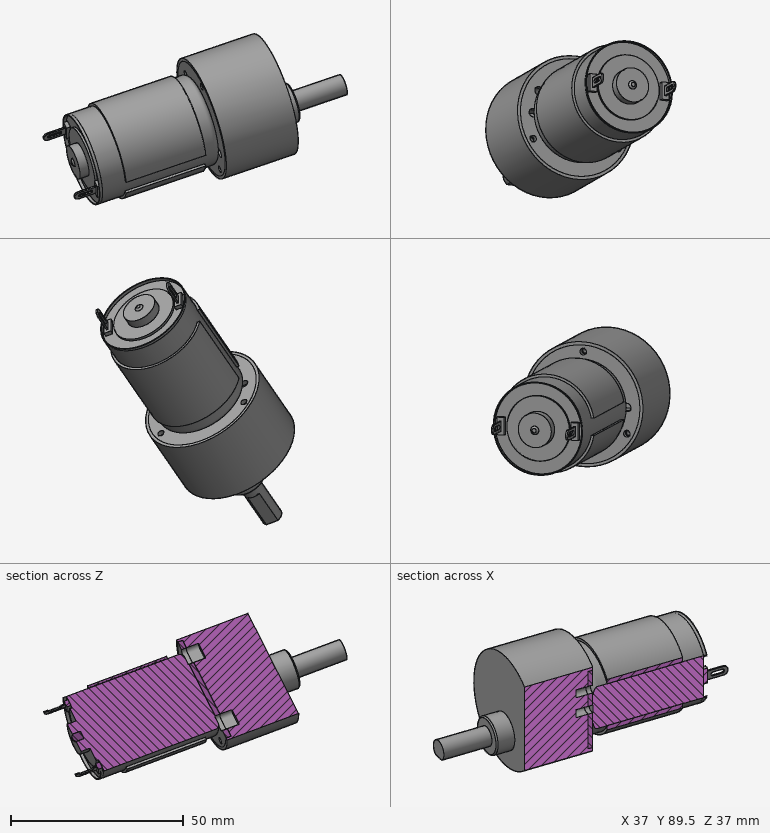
import cadquery as cq
import math

TOTAL_LENGTH = 89.5

GEARBOX_RADIUS = 37.0 / 2
GEARBOX_LENGTH = 22.6
COVER_RADIUS = 17.5
COVER_THICKNESS = 1.5
BOSS_RADIUS = 6.0
BOSS_LENGTH = 6.0
BOSS_CHAMFER = 0.45

SCREW_CIRCLE_RADIUS = 15.6
SCREW_ANGLES = [90, 210, 330]
SCREW_CLEARANCE_RADIUS = 1.0
SCREW_PILOT_RADIUS = 0.7
SCREW_PILOT_DEPTH = 5.4
OPENING_CIRCLE_RADIUS = 13.5
OPENING_RADIUS = 1.25
OPENING_DEPTH = 5.4
ROUND_HOLE_ANGLE = 150
SLOT_SIDES = [-1, 1]
SLOT_RUN = 2.7

SHAFT_Z = -7.0
SHAFT_RADIUS = 3.1
SHAFT_PROTRUSION = 15.9
SHAFT_FLAT_LENGTH = 11.9
SHAFT_FLAT_OFFSET = 2.5
SHAFT_SEAT_DEPTH = BOSS_LENGTH

CAN_RADIUS = 13.8
CAN_LENGTH = 37.9
CAN_FILLET = 1.6
RIM_WIDTH = 0.3
RIM_DEPTH = 1.0
DISC_RADIUS = 9.7
DISC_HEIGHT = 0.7
BEARING_RADIUS = 5.1
BEARING_HEIGHT = 2.5

RING_RADIUS = 14.6
RING_START = 4.7
RING_LENGTH = 25.1
RING_GAP = 5.2

PIN_RADIUS = 1.25
PIN_TIP_RADIUS = 0.6
PIN_PROTRUSION = 0.5
PIN_SEAT_DEPTH = BEARING_HEIGHT

TERMINAL_X = 11.5
PLATE_WIDTH = 2.2
PLATE_HEIGHT = 5.2
PLATE_THICKNESS = 1.25
BLADE_THICKNESS = 0.5
BLADE_WIDTH = 2.95
EYE_WIDTH = 1.25
EYE_LENGTH = 4.4
EYE_TO_TIP = 1.25

BOSS_END = GEARBOX_LENGTH + BOSS_LENGTH
SHAFT_TIP = BOSS_END + SHAFT_PROTRUSION
TERMINAL_TIP = SHAFT_TIP - TOTAL_LENGTH
CAN_END = -CAN_LENGTH
CAN_FLOOR = CAN_END + RIM_DEPTH
BEARING_END = CAN_END - BEARING_HEIGHT


def cylinder(radius, y_start, y_end, x=0, z=0):
    """Cylinder along Y between two Y positions."""
    length = y_end - y_start
    return cq.Workplane(cq.Solid.makeCylinder(radius, length, cq.Vector(x, y_start, z), cq.Vector(0, 1, 0)))


def circle_points(radius, angles):
    """X, Z positions on a circle about the motor axis."""
    return [(radius * math.cos(math.radians(a)), radius * math.sin(math.radians(a))) for a in angles]


def rear_openings():
    """Round hole and two radial slots that enter the gearbox from its rear face."""
    x, z = circle_points(OPENING_CIRCLE_RADIUS, [ROUND_HOLE_ANGLE])[0]
    openings = [cylinder(OPENING_RADIUS, 0, OPENING_DEPTH, x, z)]
    for side in SLOT_SIDES:
        slot = cq.Workplane("XZ").center(side * (OPENING_CIRCLE_RADIUS - SLOT_RUN / 2), 0)
        openings.append(slot.slot2D(SLOT_RUN + 2 * OPENING_RADIUS, 2 * OPENING_RADIUS).extrude(-OPENING_DEPTH))
    return openings


SCREW_POINTS = circle_points(SCREW_CIRCLE_RADIUS, SCREW_ANGLES)


def make_housing():
    housing = cylinder(GEARBOX_RADIUS, 0, GEARBOX_LENGTH)
    boss = cylinder(BOSS_RADIUS, GEARBOX_LENGTH, BOSS_END, z=SHAFT_Z).faces(">Y").chamfer(BOSS_CHAMFER)
    housing = housing.union(boss)
    housing = housing.cut(cylinder(COVER_RADIUS, 0, COVER_THICKNESS))
    housing = housing.cut(cylinder(SHAFT_RADIUS, BOSS_END - SHAFT_SEAT_DEPTH, BOSS_END, z=SHAFT_Z))
    for x, z in SCREW_POINTS:
        housing = housing.cut(cylinder(SCREW_PILOT_RADIUS, 0, SCREW_PILOT_DEPTH, x, z))
    for opening in rear_openings():
        housing = housing.cut(opening)
    return housing


def make_cover():
    cover = cylinder(COVER_RADIUS, 0, COVER_THICKNESS)
    for x, z in SCREW_POINTS:
        cover = cover.cut(cylinder(SCREW_CLEARANCE_RADIUS, 0, COVER_THICKNESS, x, z))
    for opening in rear_openings():
        cover = cover.cut(opening)
    return cover


def make_output_shaft():
    """Shaft with a D flat facing -Z at its free end."""
    shaft = cylinder(SHAFT_RADIUS, BOSS_END - SHAFT_SEAT_DEPTH, SHAFT_TIP, z=SHAFT_Z)
    flat_cut = cq.Workplane().box(
        2 * SHAFT_RADIUS, SHAFT_FLAT_LENGTH, SHAFT_RADIUS, centered=(True, False, False)
    ).translate((0, SHAFT_TIP - SHAFT_FLAT_LENGTH, SHAFT_Z - SHAFT_FLAT_OFFSET - SHAFT_RADIUS))
    return shaft.cut(flat_cut)


def make_motor_can():
    """Can with a recessed end face that carries a flat disc and the bearing boss."""
    can = cylinder(CAN_RADIUS, CAN_END, 0).faces(">Y").edges().fillet(CAN_FILLET)
    can = can.cut(cylinder(CAN_RADIUS - RIM_WIDTH, CAN_END, CAN_FLOOR))
    can = can.union(cylinder(DISC_RADIUS, CAN_FLOOR - DISC_HEIGHT, CAN_FLOOR))
    can = can.union(cylinder(BEARING_RADIUS, BEARING_END, CAN_FLOOR))
    return can.cut(cylinder(PIN_RADIUS, BEARING_END, BEARING_END + PIN_SEAT_DEPTH))


def make_ring():
    """Ring around the can, split on its +X side."""
    ring_end = -RING_START - RING_LENGTH
    ring = cylinder(RING_RADIUS, ring_end, -RING_START).cut(cylinder(CAN_RADIUS, ring_end, -RING_START))
    gap = cq.Workplane().box(RING_RADIUS, RING_LENGTH, RING_GAP, centered=(False, False, True))
    return ring.cut(gap.translate((0, ring_end, 0)))


def make_motor_shaft():
    """Motor shaft end with a tapered tip."""
    seat = cylinder(PIN_RADIUS, BEARING_END, BEARING_END + PIN_SEAT_DEPTH)
    tip = cq.Solid.makeCone(
        PIN_RADIUS, PIN_TIP_RADIUS, PIN_PROTRUSION, cq.Vector(0, BEARING_END, 0), cq.Vector(0, -1, 0)
    )
    return seat.union(cq.Workplane(tip))


def make_terminal(x):
    """Base plate with a round-ended solder blade that has a long eye."""
    plate_end = CAN_FLOOR - PLATE_THICKNESS
    plate = cq.Workplane().box(PLATE_WIDTH, PLATE_THICKNESS, PLATE_HEIGHT)
    plate = plate.translate((x, CAN_FLOOR - PLATE_THICKNESS / 2, 0))
    half_width = BLADE_WIDTH / 2
    arc_start = TERMINAL_TIP + half_width
    blade = (
        cq.Workplane("YZ")
        .moveTo(plate_end, -half_width)
        .lineTo(arc_start, -half_width)
        .threePointArc((TERMINAL_TIP, 0), (arc_start, half_width))
        .lineTo(plate_end, half_width)
        .close()
        .extrude(BLADE_THICKNESS / 2, both=True)
    )
    eye = (
        cq.Workplane("YZ")
        .center(TERMINAL_TIP + EYE_TO_TIP + EYE_LENGTH / 2, 0)
        .slot2D(EYE_LENGTH, EYE_WIDTH)
        .extrude(BLADE_THICKNESS, both=True)
    )
    return plate.union(blade.cut(eye).translate((x, 0, 0)))


housing = make_housing()
cover = make_cover()
output_shaft = make_output_shaft()
motor_can = make_motor_can()
ring = make_ring()
motor_shaft = make_motor_shaft()
terminals = [make_terminal(side * TERMINAL_X) for side in (-1, 1)]

result = cq.Compound.makeCompound([
    housing.val(),
    cover.val(),
    output_shaft.val(),
    motor_can.val(),
    ring.val(),
    motor_shaft.val(),
    *[terminal.val() for terminal in terminals],
])